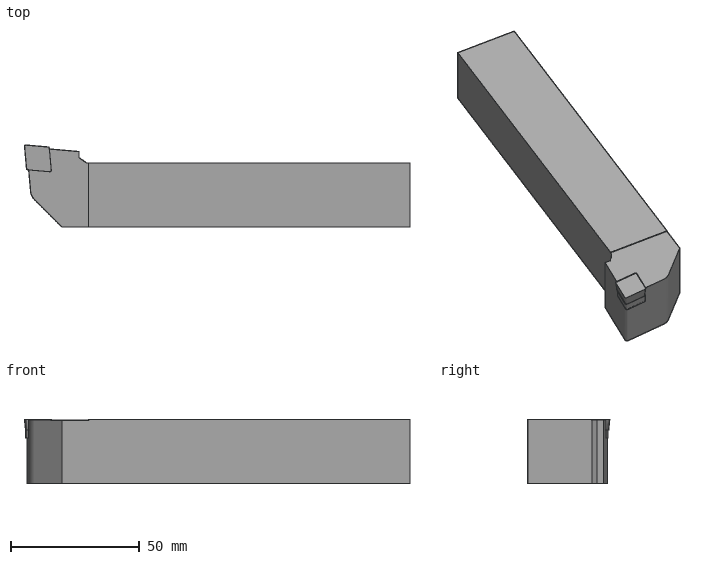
import cadquery as cq
import math

length = 150.0
shank_width = length / 6
shank_height = shank_width
overall_width = 32.0

head_length = shank_width
head_drop = 0.3
edge_angle = 5.0
head_corner_x = 0.82
head_corner_y = 31.2
shoulder_x = 21.3
shoulder_foot_y = 27.0
shank_start_x = 24.2
front_chamfer = 14.5
chamfer_blend_radius = 5.1
head_nose_radius = 0.9

insert_side = 9.8
insert_nose_angle = 90 - 2 * edge_angle
insert_thickness = 4.0
insert_radius = 0.6
clearance_angle = 5.0
seat_thickness = 3.2
seat_setback = 0.3

edge_slope = math.tan(math.radians(edge_angle))
insert_bottom_z = shank_height - insert_thickness
insert_inset = insert_thickness * math.tan(math.radians(clearance_angle))


def insert_outline(z, inset=0.0):
    """Sharp rhombus at height z, with every side moved inward by inset."""
    nose_half_angle = math.radians(insert_nose_angle / 2)
    corner_reach = (insert_radius - inset) / math.sin(nose_half_angle)
    shift = corner_reach * math.sqrt(0.5)
    nose_x = insert_radius - shift
    nose_y = overall_width - insert_radius + shift
    side = insert_side - 2 * inset / math.sin(2 * nose_half_angle)
    long_step = side * math.cos(math.radians(edge_angle))
    short_step = side * math.sin(math.radians(edge_angle))
    return cq.Workplane("XY", origin=(0, 0, z)).polyline([
        (nose_x, nose_y),
        (nose_x + long_step, nose_y - short_step),
        (nose_x + long_step + short_step, nose_y - short_step - long_step),
        (nose_x + short_step, nose_y - long_step),
    ]).close()


def make_insert():
    """Insert with rounded corners, narrowing downward by the clearance angle."""
    blank = insert_outline(shank_height).extrude(-insert_thickness, taper=clearance_angle)
    slanted_edges = blank.edges("not(#Z)")
    return slanted_edges.fillet(insert_radius)


def make_seat():
    """Straight-sided pad under the insert, shaped like the insert's lower face and set back from it."""
    pad = insert_outline(insert_bottom_z, insert_inset).extrude(-seat_thickness)
    return pad.edges("|Z").fillet(insert_radius).translate((0, -seat_setback, 0))


def make_holder(insert):
    flank_foot_y = (front_chamfer - head_corner_x - head_corner_y * edge_slope) / (1 - edge_slope)
    flank_foot_x = front_chamfer - flank_foot_y
    shoulder_y = head_corner_y - (shoulder_x - head_corner_x) * edge_slope

    body = cq.Workplane("XY").polyline([
        (head_corner_x, head_corner_y),
        (shoulder_x, shoulder_y),
        (shoulder_x, shoulder_foot_y),
        (shank_start_x, shank_width),
        (length, shank_width),
        (length, 0),
        (front_chamfer, 0),
        (flank_foot_x, flank_foot_y),
    ]).close().extrude(shank_height)

    body = body.edges(
        cq.selectors.NearestToPointSelector((head_corner_x, head_corner_y, shank_height / 2))
    ).fillet(head_nose_radius)
    body = body.edges(
        cq.selectors.NearestToPointSelector((flank_foot_x, flank_foot_y, shank_height / 2))
    ).fillet(chamfer_blend_radius)

    head_step = cq.Workplane("XY", origin=(0, 0, shank_height - head_drop)).rect(
        head_length, overall_width, centered=False
    ).extrude(head_drop)
    body = body.cut(head_step)

    return body.union(make_seat()).cut(insert)


cutting_insert = make_insert()
holder = make_holder(cutting_insert)

result = cq.Compound.makeCompound([holder.val(), cutting_insert.val()])